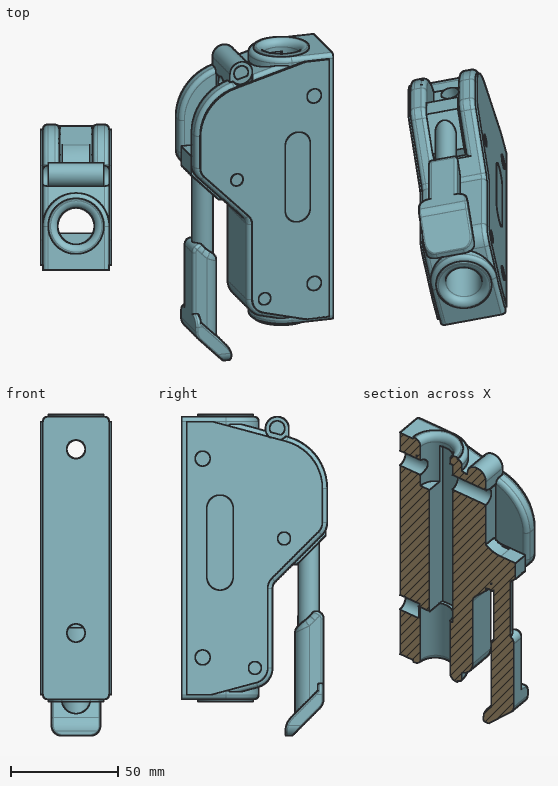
import cadquery as cq
import math


body_width = 31.0
body_height = 132.0
body_depth = 68.0
foot_depth = 42.5
slope_start = 14.5
slope_angle = math.radians(15)
notch_line_offset = 54.85
nose_top_radius = 25.0
nose_bottom_radius = 8.5
waist_radius = 4.0
toe_radius = 9.5
edge_radius = 2.25
back_tolerance = 0.001
half_width = body_width / 2
half_height = body_height / 2

channel_width = 15.5
core_width = 22.0
core_depth = 50.0

overall_width = 33.0
cover_inset = 2.3
mark_depth = 0.1
slot_width = 12.3
slot_y = 17.9
slot_bottom = -15.0
slot_top = 29.4
pin_heads = [
    (9.8, 46.4, 7.0),
    (9.8, -46.4, 7.0),
    (47.8, 9.1, 6.0),
    (34.2, -51.3, 6.0),
]

bore_y = 20.5
bore_diameter = 17.0
collar_diameter = 26.0
collar_height = 1.0
collar_edge = 0.4
mouth_radius = 3.5
jaw_face_y = 17.3
jaw_bottom = -32.5
jaw_top = 40.0
jaw_seat = 0.5
cavity_width = 20.0
cavity_front = 30.5
cavity_top = 61.0
bushing_diameter = 19.6

hole_diameter = 8.5
through_hole_z = 50.75
blind_hole_z = -35.0

cross_pin_diameter = 11.0
cross_pin_length = 26.0
cross_pin_y = 44.6
cross_pin_z = 60.5
cross_pin_head = 7.0
lug_depth = 6.5

guide_width = 15.0
guide_front = 67.3
guide_back = 48.0
guide_top = 20.0
guide_bottom = -3.1
guide_stand_off = 2.0
ramp_width = 12.8
ramp_radius = 14.0
ramp_foot = 58.5

rod_diameter = 10.0
rod_y = 59.3
rod_bottom = -60.0
grip_front = 66.3
grip_radius = 6.75
grip_y = 59.55
grip_cut_z = -26.6
grip_edge = 3.5
grip_front_edge = 1.4
plate_width = 23.0
plate_top = -58.5
plate_bottom = -83.06
plate_back = 48.4
plate_web = 2.8
plate_slant_outer = 134.6
plate_slant_inner = 125.4
plate_knee_radius = 6.0
plate_tip_radius = 9.0
plate_corner_radius = 5.0
plate_edge = 0.8


def tube(plane, center, diameter, start, end):
    """Cylinder along the normal of a plane, between two offsets."""
    work = cq.Workplane(plane).workplane(offset=start).center(*center)
    return work.circle(diameter / 2).extrude(end - start)


def x_prism(points, width):
    """Extrude a (y, z) outline symmetrically about the mid-plane."""
    return cq.Workplane("YZ").polyline(points).close().extrude(width / 2, both=True)


def x_edge(solid, y, z, radius):
    """Round the edge along X that passes nearest to (y, z)."""
    return solid.edges("|X").edges(cq.selectors.NearestToPointSelector((0, y, z))).fillet(radius)


def side_profile(width):
    def slope_height(y):
        return half_height - (y - slope_start) * math.tan(slope_angle)

    nose_top = slope_height(body_depth)
    nose_bottom = body_depth - notch_line_offset
    waist = foot_depth - notch_line_offset
    toe = -slope_height(foot_depth)
    solid = x_prism(
        [
            (0, half_height),
            (slope_start, half_height),
            (body_depth, nose_top),
            (body_depth, nose_bottom),
            (foot_depth, waist),
            (foot_depth, toe),
            (slope_start, -half_height),
            (0, -half_height),
        ],
        width,
    )
    solid = x_edge(solid, body_depth, nose_top, nose_top_radius)
    solid = x_edge(solid, body_depth, nose_bottom, nose_bottom_radius)
    solid = x_edge(solid, foot_depth, waist, waist_radius)
    return x_edge(solid, foot_depth, toe, toe_radius)


def round_rim(solid, face, radius):
    """Round the rim of a face, leaving its edge on the back of the body sharp."""
    rim = solid.faces(face).edges()
    kept = [edge for edge in rim.vals() if edge.Center().y > back_tolerance]
    return solid.newObject(kept).fillet(radius)


def make_cheek(side):
    width = (body_width - channel_width) / 2
    cheek = side_profile(width).translate((side * (channel_width + width) / 2, 0, 0))
    cheek = round_rim(cheek, ">X", edge_radius)
    return round_rim(cheek, "<X", edge_radius)


def make_column():
    """Full-height column around the bore, round towards the nose."""
    column = (
        cq.Workplane("XY")
        .workplane(offset=-half_height)
        .moveTo(-half_width, 0)
        .lineTo(half_width, 0)
        .lineTo(half_width, bore_y)
        .threePointArc((0, bore_y + half_width), (-half_width, bore_y))
        .close()
        .extrude(body_height)
    )
    column = round_rim(column, ">Z", edge_radius)
    return round_rim(column, "<Z", edge_radius)


def make_body():
    core_limit = cq.Workplane("XY").box(core_width, core_depth, body_height, centered=(True, False, True))
    body = side_profile(core_width).intersect(core_limit)
    for side in (-1, 1):
        body = body.union(make_cheek(side))
    return body.union(make_column())


def make_cover(side):
    thickness = (overall_width - body_width) / 2
    outline = side_profile(body_width).faces(">X").wires().val().offset2D(-cover_inset)[0]
    cover = cq.Workplane("YZ", origin=(half_width, 0, 0)).add(outline).toPending().extrude(thickness)
    mark_start = overall_width / 2 - mark_depth
    for y, z, diameter in pin_heads:
        cover = cover.cut(tube("YZ", (y, z), diameter, mark_start, overall_width / 2))
    slot = (
        cq.Workplane("YZ")
        .workplane(offset=mark_start)
        .center(slot_y, (slot_top + slot_bottom) / 2)
        .slot2D(slot_top - slot_bottom, slot_width, 90)
        .extrude(mark_depth)
    )
    cover = cover.cut(slot)
    return cover if side > 0 else cover.mirror("YZ")


def add_bore(body):
    reach = half_height + collar_height
    collar = tube("XY", (0, bore_y), collar_diameter, -reach, reach)
    collar = collar.faces("<Z or >Z").edges().fillet(collar_edge)
    bore = tube("XY", (0, bore_y), bore_diameter, -reach, reach)
    body = body.union(collar).cut(bore)
    largest_radius = bore_diameter / 2 + collar_edge
    lowest_height = reach - collar_edge / 2
    mouths = [
        edge
        for edge in body.edges("%CIRCLE").vals()
        if edge.radius() < largest_radius and abs(edge.Center().z) > lowest_height
    ]
    return body.newObject(mouths).fillet(mouth_radius)


def make_jaw():
    jaw = tube("XY", (0, bore_y), bore_diameter + 2 * jaw_seat, jaw_bottom, jaw_top)
    back_part = cq.Workplane("XY").box(body_width, jaw_face_y, body_height, centered=(True, False, True))
    return jaw.intersect(back_part)


def make_cavity():
    depth = cavity_front - jaw_face_y
    height = cavity_top - jaw_bottom
    cavity = cq.Workplane("XY").box(cavity_width, depth, height, centered=(True, False, False))
    return cavity.translate((0, jaw_face_y, jaw_bottom))


def make_blind_hole():
    """Lower mounting hole, stopped by the round bushing below the jaw."""
    hole = tube("XZ", (0, blind_hole_z), hole_diameter, -bore_y, 0)
    return hole.cut(tube("XY", (0, bore_y), bushing_diameter, -half_height, jaw_bottom))


def make_cross_pin():
    half_length = cross_pin_length / 2
    pin = tube("YZ", (cross_pin_y, cross_pin_z), cross_pin_diameter, -half_length, half_length)
    lug = cq.Workplane("XY").box(cross_pin_length, cross_pin_diameter, lug_depth)
    pin = pin.union(lug.translate((0, cross_pin_y, cross_pin_z - lug_depth / 2)))
    for start in (-half_length, half_length - mark_depth):
        pin = pin.cut(tube("YZ", (cross_pin_y, cross_pin_z), cross_pin_head, start, start + mark_depth))
    return pin


def cut_pin_clearance(body):
    """Relieve the cheeks beside both ends of the cross pin."""
    inner = cross_pin_length / 2
    for start, end in ((-half_width, -inner), (inner, half_width)):
        body = body.cut(tube("YZ", (cross_pin_y, cross_pin_z), cross_pin_diameter, start, end))
    return body


def make_guide():
    """Block between the cheeks that holds the rod, with a hollow ramp on top."""
    slant = notch_line_offset + guide_stand_off
    guide = x_prism(
        [
            (guide_back, guide_top),
            (guide_front, guide_top),
            (guide_front, guide_front - slant),
            (guide_bottom + slant, guide_bottom),
            (guide_back, guide_bottom),
        ],
        guide_width,
    )
    ramp_center = (ramp_foot, guide_top + ramp_radius)
    rise = ramp_radius - math.sqrt(ramp_radius**2 - (ramp_foot - guide_back) ** 2)
    ramp = cq.Workplane("XY").box(ramp_width, ramp_foot - guide_back, rise, centered=(True, False, False))
    ramp = ramp.translate((0, guide_back, guide_top))
    ramp = ramp.cut(tube("YZ", ramp_center, 2 * ramp_radius, -ramp_width / 2, ramp_width / 2))
    return guide.union(ramp)


def make_grip():
    grip = (
        cq.Workplane("XY")
        .workplane(offset=plate_bottom)
        .moveTo(-grip_radius, grip_front)
        .lineTo(-grip_radius, grip_y)
        .threePointArc((0, grip_y - grip_radius), (grip_radius, grip_y))
        .lineTo(grip_radius, grip_front)
        .close()
        .extrude(-plate_bottom)
    )
    back = grip_y - grip_radius
    top_slant = grip_y - grip_cut_z
    lower_slant = (plate_slant_inner + plate_slant_outer) / 2
    side = x_prism(
        [
            (back, back - top_slant),
            (grip_front, grip_front - top_slant),
            (grip_front, grip_front - lower_slant),
            (back, back - lower_slant),
        ],
        plate_width,
    )
    grip = grip.intersect(side)
    slanted_top = grip.faces(cq.selectors.DirectionMinMaxSelector(cq.Vector(0, -1, 1)))
    grip = slanted_top.edges().fillet(grip_edge)
    return grip.faces(">Y").edges("|Z").fillet(grip_front_edge)


def make_thumb_plate():
    inner_face = grip_front - plate_web
    plate = x_prism(
        [
            (grip_front, plate_top),
            (grip_front, grip_front - plate_slant_outer),
            (plate_bottom + plate_slant_outer, plate_bottom),
            (plate_back, plate_bottom),
            (plate_back, plate_back - plate_slant_inner),
            (inner_face, inner_face - plate_slant_inner),
            (inner_face, plate_top),
        ],
        plate_width,
    )
    plate = x_edge(plate, grip_front, grip_front - plate_slant_outer, plate_knee_radius)
    plate = x_edge(plate, plate_back, plate_back - plate_slant_inner, plate_tip_radius)
    outline = cq.Workplane("XY").box(plate_width, body_depth, plate_top - plate_bottom)
    outline = outline.edges("|Y").fillet(plate_corner_radius)
    outline = outline.translate((0, body_depth / 2, (plate_top + plate_bottom) / 2))
    return plate.intersect(outline).edges("not (|X or |Y)").fillet(plate_edge)


body = add_bore(make_body())
for side in (-1, 1):
    body = body.union(make_cover(side))
body = cut_pin_clearance(body)
body = body.union(make_guide()).union(make_cross_pin())
body = body.cut(make_cavity()).cut(make_blind_hole())
body = body.union(make_jaw())
body = body.cut(tube("XZ", (0, through_hole_z), hole_diameter, -body_depth, 0))

rod = tube("XY", (0, rod_y), rod_diameter, rod_bottom, guide_top)
handle = rod.union(make_grip()).union(make_thumb_plate())

result = body.union(handle)